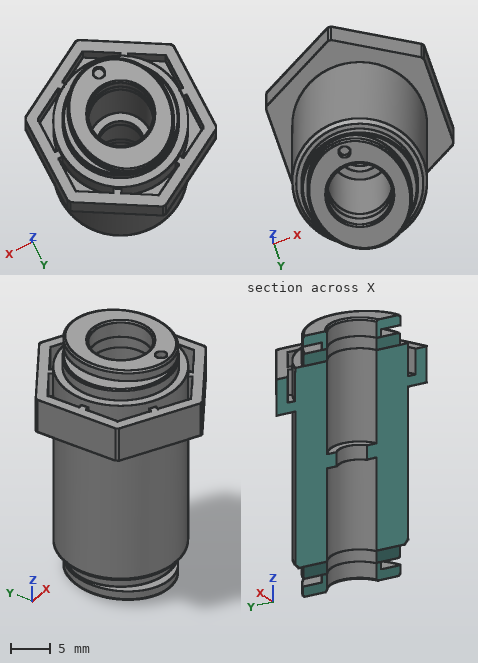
import cadquery as cq
import math

HALF_LENGTH = 17.8
RELEASE_FLANGE_THICKNESS = 1.5
RELEASE_NECK_LENGTH = 0.95
GUIDE_LENGTH = 1.65

NECK_TOP = HALF_LENGTH - RELEASE_FLANGE_THICKNESS
GUIDE_TOP = NECK_TOP - RELEASE_NECK_LENGTH
BODY_TOP = GUIDE_TOP - GUIDE_LENGTH

TUBE_BORE_DIAMETER = 8.2
TUBE_BORE_MOUTH_CHAMFER = 0.25
FLOW_BORE_DIAMETER = 6.0
TUBE_STOP_LENGTH = 2.0

RELEASE_WIDTH = 13.0
RELEASE_LENGTH = 15.0
RELEASE_CHAMFER_WIDTH = 0.25
RELEASE_CHAMFER_HEIGHT = 0.3
RELEASE_NECK_DIAMETER = 9.6
MARK_HOLE_DIAMETER = 1.5
MARK_HOLE_OFFSET = 6.0
MARK_HOLE_DEPTH = 1.0

GUIDE_DIAMETER = 14.7
GUIDE_CHAMFER = 0.2

BARREL_DIAMETER = 17.0
BARREL_CHAMFER_WIDTH = 0.5
BARREL_CHAMFER_HEIGHT = 0.6
HEX_ACROSS_FLATS = 21.0
HEX_TURNED_DIAMETER = 24.0
HEX_HEIGHT = 5.0
BARREL_RISE_ABOVE_HEX = 1.0
HEX_TOP = BODY_TOP - BARREL_RISE_ABOVE_HEX
HEX_WALL = 1.45
POCKET_DEPTH = 3.5
RIB_WIDTH = 1.0
HEX_SIDES = 6


def cylinder(diameter, bottom, top):
    return cq.Workplane("XY", origin=(0, 0, bottom)).circle(diameter / 2).extrude(top - bottom)


def hexagon(across_flats, bottom, top):
    """Hexagonal prism with two flats facing -X and +X."""
    across_corners = across_flats / math.cos(math.pi / HEX_SIDES)
    prism = cq.Workplane("XY", origin=(0, 0, bottom)).polygon(HEX_SIDES, across_corners).extrude(top - bottom)
    return prism.rotate((0, 0, 0), (0, 0, 1), 180 / HEX_SIDES)


def make_hex_pockets():
    """Six corner pockets between the hexagon wall and the barrel, parted by a rib at each flat."""
    floor = HEX_TOP - POCKET_DEPTH
    pockets = hexagon(HEX_ACROSS_FLATS - 2 * HEX_WALL, floor, HEX_TOP)
    pockets = pockets.cut(cylinder(BARREL_DIAMETER, floor, HEX_TOP))
    for index in range(HEX_SIDES // 2):
        rib_pair = (
            cq.Workplane("XY", origin=(0, 0, floor))
            .rect(HEX_ACROSS_FLATS, RIB_WIDTH)
            .extrude(POCKET_DEPTH)
            .rotate((0, 0, 0), (0, 0, 1), index * 360 / HEX_SIDES)
        )
        pockets = pockets.cut(rib_pair)
    return pockets


def make_body():
    radius = BARREL_DIAMETER / 2
    barrel = (
        cq.Workplane("XZ")
        .moveTo(0, -BODY_TOP)
        .lineTo(radius - BARREL_CHAMFER_WIDTH, -BODY_TOP)
        .lineTo(radius, -BODY_TOP + BARREL_CHAMFER_HEIGHT)
        .lineTo(radius, BODY_TOP)
        .lineTo(0, BODY_TOP)
        .close()
        .revolve(360, (0, 0, 0), (0, 1, 0))
    )
    hex_bottom = HEX_TOP - HEX_HEIGHT
    hex_collar = hexagon(HEX_ACROSS_FLATS, hex_bottom, HEX_TOP)
    hex_collar = hex_collar.intersect(cylinder(HEX_TURNED_DIAMETER, hex_bottom, HEX_TOP))
    half_stop = TUBE_STOP_LENGTH / 2
    return (
        barrel.union(hex_collar)
        .cut(make_hex_pockets())
        .cut(cylinder(FLOW_BORE_DIAMETER, -BODY_TOP, BODY_TOP))
        .cut(cylinder(TUBE_BORE_DIAMETER, half_stop, BODY_TOP))
        .cut(cylinder(TUBE_BORE_DIAMETER, -BODY_TOP, -half_stop))
    )


def make_guide():
    """Guide ring for the top end, resting on the body."""
    ring = cylinder(GUIDE_DIAMETER, BODY_TOP, GUIDE_TOP).faces(">Z").edges().chamfer(GUIDE_CHAMFER)
    return ring.cut(cylinder(TUBE_BORE_DIAMETER, BODY_TOP, GUIDE_TOP))


def make_release_sleeve():
    """Oval release sleeve for the top end, resting on the guide ring."""
    flange = (
        cq.Workplane("XY", origin=(0, 0, NECK_TOP))
        .ellipse(RELEASE_WIDTH / 2, RELEASE_LENGTH / 2)
        .extrude(RELEASE_FLANGE_THICKNESS)
        .faces(">Z")
        .edges()
        .chamfer(RELEASE_CHAMFER_HEIGHT, RELEASE_CHAMFER_WIDTH)
    )
    neck = cylinder(RELEASE_NECK_DIAMETER, GUIDE_TOP, NECK_TOP)
    sleeve = flange.union(neck).cut(cylinder(TUBE_BORE_DIAMETER, GUIDE_TOP, HALF_LENGTH))
    bore_mouth = cq.selectors.RadiusNthSelector(0)
    sleeve = sleeve.faces(">Z").edges("%CIRCLE").edges(bore_mouth).chamfer(TUBE_BORE_MOUTH_CHAMFER)
    mark_hole = cylinder(MARK_HOLE_DIAMETER, HALF_LENGTH - MARK_HOLE_DEPTH, HALF_LENGTH)
    return sleeve.cut(mark_hole.translate((0, -MARK_HOLE_OFFSET, 0)))


body = make_body()
ends = []
for make_end_part in (make_guide, make_release_sleeve):
    top_part = make_end_part()
    bottom_part = top_part.mirror("XY")
    ends.extend([top_part.val(), bottom_part.val()])

result = cq.Compound.makeCompound([body.val(), *ends])